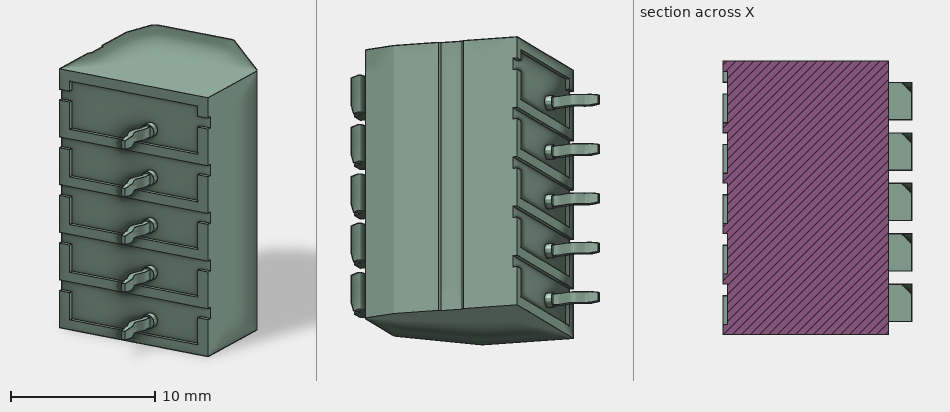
import cadquery as cq
import math


pole_count = 5
pole_pitch = 3.5
first_pole_z = 0.02
height = 19.0

width = 12.0
depth = 11.5
corner_radius = 0.5
left_slope_start_y = 9.06
left_slope_top_x = 0.8
right_slope_start_y = 6.7
groove_depth = 0.15
groove_bottom_y = 3.93
groove_top_y = 5.78

recess_depth = 0.3
side_rim = 0.84
lower_rim = 0.7
top_rim = 0.76
side_rim_top = 2.7

pin_x = 7.24
pin_z = pole_pitch / 2
pin_thickness = 0.4
pin_width = 0.76
pin_length = 3.5
pin_tip_length = 0.59
pin_tip_thickness = 0.28
pin_tip_width = 0.6
pin_bend_start = 0.6
pin_bend_span = 1.08
pin_bend_radius = 0.9
pin_bend_angle = math.radians(22.5)
collar_diameter = 1.0
collar_projection = 0.19

lever_left_x = 2.45
lever_right_x = 4.67
lever_top_y = 13.11
lever_height = 2.6
lever_top_left_x = 2.7
lever_nose_x = 1.75
lever_underside_y = 12.0
lever_nose_radius = 0.19

slot_depth = 0.66
slot_centre_x = 3.7
slot_mouth_width = 0.95
slot_floor_width = 0.15
slot_angle = 34.7
slot_cut_length = 7.6

embed = 0.38


def pole_bottoms():
    return [first_pole_z + index * pole_pitch for index in range(pole_count)]


def box(x_range, y_range, z_range):
    """Box given by its limits along each axis."""
    sizes = [high - low for low, high in (x_range, y_range, z_range)]
    corner = (x_range[0], y_range[0], z_range[0])
    return cq.Workplane("XY").box(*sizes, centered=False).translate(corner)


def round_upright_edge(solid, x, y, z, radius):
    """Fillet the vertical edge that passes closest to the given point."""
    edge = cq.selectors.NearestToPointSelector((x, y, z))
    return solid.edges("|Z").edges(edge).fillet(radius)


def make_housing():
    right_slope_top_x = width - (depth - right_slope_start_y)
    sloped_corners = [
        (width, right_slope_start_y),
        (right_slope_top_x, depth),
        (left_slope_top_x, depth),
        (0, left_slope_start_y),
    ]
    groove = [
        (0, groove_top_y),
        (groove_depth, groove_top_y - groove_depth),
        (groove_depth, groove_bottom_y + groove_depth),
        (0, groove_bottom_y),
    ]
    outline = [(0, 0), (width, 0)] + sloped_corners + groove
    housing = cq.Workplane("XY").polyline(outline).close().extrude(height)
    for x, y in sloped_corners:
        housing = round_upright_edge(housing, x, y, height / 2, corner_radius)
    return housing


def cut_recesses(housing):
    """Sink the pin face of each pole, leaving a rim that is open at the top of the pole."""
    inner_x = (side_rim, width - side_rim)
    recess_y = (0, recess_depth)
    for bottom in pole_bottoms():
        top = bottom + pole_pitch
        housing = housing.cut(box(inner_x, recess_y, (bottom + lower_rim, top)))
        housing = housing.cut(box((0, width), recess_y, (bottom + side_rim_top, top)))
    end_recess_z = (first_pole_z + pole_count * pole_pitch, height - top_rim)
    return housing.cut(box(inner_x, recess_y, end_recess_z))


def make_pin():
    """Wavy pin with its axis along Y and its centre line at X = Z = 0."""
    arc_x = pin_bend_radius * (1 - math.cos(pin_bend_angle))
    arc_y = pin_bend_radius * math.sin(pin_bend_angle)
    slant_y = pin_bend_span - 2 * arc_y
    slant_x = slant_y * math.tan(pin_bend_angle)
    root_y = recess_depth + embed
    tip_start_y = -(pin_length - pin_tip_length)

    path = (
        cq.Workplane("XY")
        .moveTo(0, root_y)
        .lineTo(0, -pin_bend_start)
        .tangentArcPoint((-arc_x, -arc_y))
        .line(-slant_x, -slant_y)
        .tangentArcPoint((-arc_x, -arc_y))
        .tangentArcPoint((arc_x, -arc_y))
        .line(slant_x, -slant_y)
        .tangentArcPoint((arc_x, -arc_y))
        .lineTo(0, tip_start_y)
    )
    shank = cq.Workplane("XZ", origin=(0, root_y, 0)).rect(pin_thickness, pin_width).sweep(path)
    tip = (
        cq.Workplane("XZ", origin=(0, tip_start_y, 0))
        .rect(pin_thickness, pin_width)
        .workplane(offset=pin_tip_length)
        .rect(pin_tip_thickness, pin_tip_width)
        .loft()
    )
    collar = (
        cq.Workplane("XZ", origin=(0, root_y, 0))
        .circle(collar_diameter / 2)
        .extrude(root_y + collar_projection)
    )
    return shank.union(tip).union(collar)


def make_lever():
    """Release lever of one pole, with its lower end at Z = 0."""
    nose_y = lever_top_y - (lever_top_left_x - lever_nose_x)
    root_y = depth - embed
    outline = [
        (lever_left_x, root_y),
        (lever_right_x, root_y),
        (lever_right_x, lever_top_y),
        (lever_top_left_x, lever_top_y),
        (lever_nose_x, nose_y),
        (lever_left_x, lever_underside_y),
    ]
    lever = cq.Workplane("XY").polyline(outline).close().extrude(lever_height)
    lever = round_upright_edge(lever, lever_nose_x, nose_y, lever_height / 2, lever_nose_radius)

    floor_y = lever_top_y - slot_depth
    slot_section = [
        (-slot_floor_width / 2, floor_y),
        (slot_floor_width / 2, floor_y),
        (slot_mouth_width / 2, lever_top_y),
        (-slot_mouth_width / 2, lever_top_y),
    ]
    slot = (
        cq.Workplane("XY")
        .polyline(slot_section)
        .close()
        .extrude(slot_cut_length / 2, both=True)
        .rotate((0, 0, 0), (0, 1, 0), slot_angle)
        .translate((slot_centre_x, 0, lever_height / 2))
    )
    return lever.cut(slot)


result = cut_recesses(make_housing())
pin = make_pin()
lever = make_lever()
for bottom in pole_bottoms():
    result = result.union(pin.translate((pin_x, 0, bottom + pin_z)))
    result = result.union(lever.translate((0, 0, bottom + pole_pitch - lever_height)))